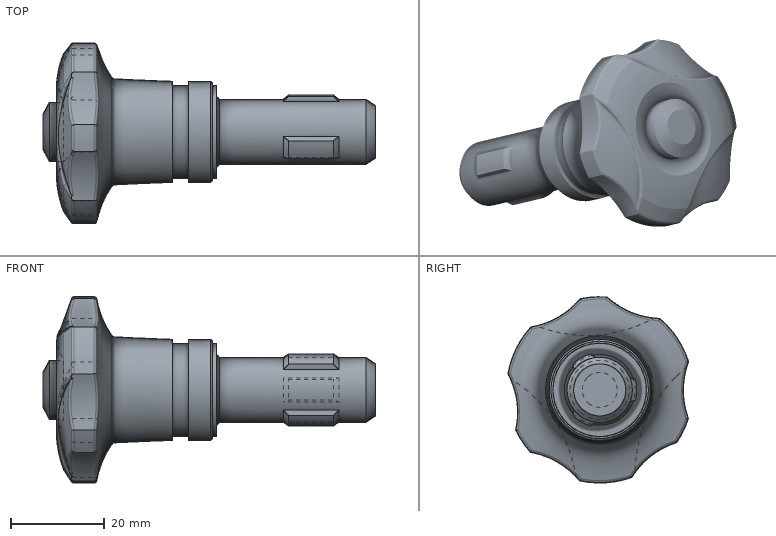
import cadquery as cq
import math


button_tip_x = -37.3
button_edge_x = button_tip_x + 1.4
knob_front_x = button_tip_x + 2.9
dome_edge_x = button_tip_x + 4.4
rim_front_x = button_tip_x + 6.3
rim_back_x = button_tip_x + 11.5
neck_x = button_tip_x + 15.0
sleeve_end_x = button_tip_x + 27.8
collar_front_x = button_tip_x + 31.2
collar_back_x = button_tip_x + 36.4
shank_end_x = button_tip_x + 71.4

button_tip_radius = 3.75
button_radius = 6.35
recess_radius = 10.1
dome_edge_radius = 17.1
rim_radius = 20.0
neck_radius = 11.4
sleeve_radius = 10.85
sleeve_waist_radius = 11.1
groove_radius = 10.0
collar_radius = sleeve_radius
shank_radius = 7.0

recess_floor_x = knob_front_x + 1.5
collar_chamfer = 0.4
shank_root_chamfer = 0.6
shank_tip_length = 2.1
shank_tip_radius = 5.6
rear_flare_sag = 0.45
dome_sag = 0.25

lobe_count = 3
lowered_lobe_angle = 93.8
flute_offset_angle = 26.0
flute_radius = 17.5
flute_floor_radius = 17.95
scoop_radius = 30.0
scoop_floor_radius = 11.8
scoop_floor_x = button_tip_x + 3.3
knob_edge_fillet = 0.6
neck_fillet = 0.6
edge_tolerance = 0.1

key_count = 3
key_start_x = button_tip_x + 51.6
key_length = 11.9
key_base_width = 5.2
key_end_slope = 1.15
key_side_slope = 0.5
key_base_radius = 6.5
key_top_radius = 7.95


def revolve_about_x(profile):
    return profile.close().revolve(360, (0, 0, 0), (1, 0, 0))


def polar(radius, angle):
    """Y and Z of a point at an angle measured from +Y towards +Z."""
    return radius * math.cos(math.radians(angle)), radius * math.sin(math.radians(angle))


def x_cylinder(radius, center_distance, angle, start_x, end_x):
    y, z = polar(center_distance, angle)
    return (
        cq.Workplane("YZ", origin=(start_x, 0, 0))
        .center(y, z)
        .circle(radius)
        .extrude(end_x - start_x)
    )


def lowered_lobe_angles():
    return [lowered_lobe_angle + index * 360 / lobe_count for index in range(lobe_count)]


def cut_flutes(body):
    """Hollow the rim on both sides of every lowered lobe."""
    for lobe_angle in lowered_lobe_angles():
        for side in (-1, 1):
            flute = x_cylinder(
                flute_radius,
                flute_floor_radius + flute_radius,
                lobe_angle + side * flute_offset_angle,
                button_tip_x,
                neck_x,
            )
            body = body.cut(flute)
    return body


def is_between(edge, start_x, end_x, min_radius):
    """Whether an edge's midpoint lies in a span of X and outside a radius about X."""
    mid = edge.positionAt(0.5)
    return start_x < mid.x < end_x and math.hypot(mid.y, mid.z) > min_radius


def make_lowered_knob():
    """Knob with the conical scoop floor as its whole front face."""
    flare_mid = (
        (rim_back_x + neck_x) / 2 - rear_flare_sag,
        (rim_radius + neck_radius) / 2 - rear_flare_sag,
    )
    profile = (
        cq.Workplane("XY")
        .moveTo(neck_x, 0)
        .lineTo(recess_floor_x, 0)
        .lineTo(recess_floor_x, button_radius)
        .lineTo(scoop_floor_x, scoop_floor_radius)
        .lineTo(rim_front_x, rim_radius)
        .lineTo(rim_back_x, rim_radius)
        .threePointArc(flare_mid, (neck_x, neck_radius))
    )
    knob = cut_flutes(revolve_about_x(profile))
    rim_edges = []
    for edge in knob.edges().vals():
        is_axial = edge.geomType() == "LINE"
        if is_between(edge, scoop_floor_x, neck_x, dome_edge_radius) and not is_axial:
            rim_edges.append(edge)
    return knob.newObject(rim_edges).fillet(knob_edge_fillet)


def make_crown():
    """Domed front of the full lobes, scooped away in front of the lowered lobes."""
    crown_back_x = rim_back_x - knob_edge_fillet
    dome_mid = (
        (knob_front_x + dome_edge_x) / 2 - dome_sag,
        (recess_radius + dome_edge_radius) / 2,
    )
    profile = (
        cq.Workplane("XY")
        .moveTo(crown_back_x, 0)
        .lineTo(recess_floor_x, 0)
        .lineTo(recess_floor_x, button_radius)
        .lineTo(knob_front_x, recess_radius)
        .threePointArc(dome_mid, (dome_edge_x, dome_edge_radius))
        .lineTo(rim_front_x, rim_radius)
        .lineTo(crown_back_x, rim_radius)
    )
    crown = revolve_about_x(profile)
    front_rim = [
        edge
        for edge in crown.edges("%CIRCLE").vals()
        if is_between(edge, dome_edge_x, crown_back_x - knob_edge_fillet, dome_edge_radius)
    ]
    crown = crown.newObject(front_rim).fillet(knob_edge_fillet)
    for angle in lowered_lobe_angles():
        scoop = x_cylinder(scoop_radius, scoop_floor_radius + scoop_radius, angle, button_tip_x, neck_x)
        crown = crown.cut(scoop)
    front_edges = [
        edge
        for edge in crown.edges("%BSPLINE").vals()
        if is_between(edge, button_tip_x, crown_back_x, recess_radius)
    ]
    return crown.newObject(front_edges).fillet(knob_edge_fillet)


def make_knob():
    return cut_flutes(make_lowered_knob().union(make_crown()))


def make_button():
    profile = (
        cq.Workplane("XY")
        .moveTo(button_tip_x, 0)
        .lineTo(button_tip_x, button_tip_radius)
        .lineTo(button_edge_x, button_radius)
        .lineTo(neck_x, button_radius)
        .lineTo(neck_x, 0)
    )
    return revolve_about_x(profile)


def make_sleeve_and_shank():
    sleeve_mid = ((neck_x + sleeve_end_x) / 2, sleeve_waist_radius)
    profile = (
        cq.Workplane("XY")
        .moveTo(neck_x, 0)
        .lineTo(neck_x, neck_radius)
        .threePointArc(sleeve_mid, (sleeve_end_x, sleeve_radius))
        .lineTo(sleeve_end_x, groove_radius)
        .lineTo(collar_front_x, groove_radius)
        .lineTo(collar_front_x, collar_radius)
        .lineTo(collar_back_x - collar_chamfer, collar_radius)
        .lineTo(collar_back_x, collar_radius - collar_chamfer)
        .lineTo(collar_back_x, groove_radius)
        .lineTo(0, groove_radius)
        .lineTo(0, shank_radius + shank_root_chamfer)
        .lineTo(shank_root_chamfer, shank_radius)
        .lineTo(shank_end_x - shank_tip_length, shank_radius)
        .lineTo(shank_end_x, shank_tip_radius)
        .lineTo(shank_end_x, 0)
    )
    return revolve_about_x(profile)


def make_key(angle):
    """Key with sloped sides, conical ends and a top concentric with the shank."""
    key_end_x = key_start_x + key_length
    base_half = key_base_width / 2
    top_half = base_half - key_side_slope
    bar = (
        cq.Workplane("YZ", origin=(key_start_x, 0, 0))
        .moveTo(0, base_half)
        .lineTo(key_base_radius, base_half)
        .lineTo(key_top_radius, top_half)
        .lineTo(key_top_radius, -top_half)
        .lineTo(key_base_radius, -base_half)
        .lineTo(0, -base_half)
        .close()
        .extrude(key_length)
    )
    envelope = revolve_about_x(
        cq.Workplane("XY")
        .moveTo(key_start_x, 0)
        .lineTo(key_start_x, shank_radius)
        .lineTo(key_start_x + key_end_slope, key_top_radius)
        .lineTo(key_end_x - key_end_slope, key_top_radius)
        .lineTo(key_end_x, shank_radius)
        .lineTo(key_end_x, 0)
    )
    return bar.intersect(envelope).rotate((0, 0, 0), (1, 0, 0), angle)


def round_neck(body):
    """Blend the rear flare of the knob into the sleeve."""
    neck_edges = [
        edge
        for edge in body.edges("%CIRCLE").vals()
        if is_between(edge, neck_x - edge_tolerance, neck_x + edge_tolerance, button_radius)
    ]
    return body.newObject(neck_edges).fillet(neck_fillet)


result = make_sleeve_and_shank().union(make_knob()).union(make_button())
result = round_neck(result)
for index in range(key_count):
    result = result.union(make_key(index * 360 / key_count))